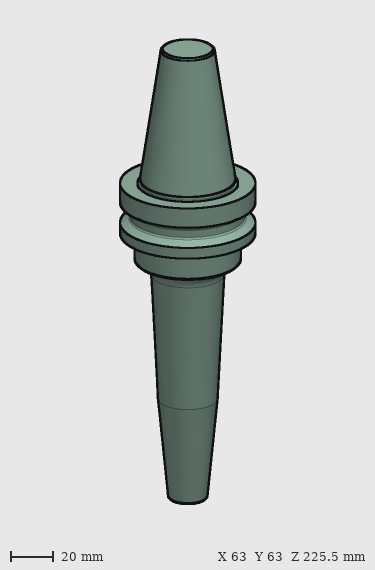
import cadquery as cq
import math

total_length = 225.5

shank_top_radius = 12.6
shank_top_chamfer = 1.0
gauge_radius = 22.3
shank_length = 65.4

neck_length = 2.0
neck_radius = 22.0
neck_fillet = 1.0
relief_radius = 23.5
relief_depth = 0.7

flange_radius = 31.5
flange_length = 25.2
upper_rim_length = 9.7
lower_rim_length = 5.5
groove_radius = 26.8
groove_side_height = 2.7
groove_fillet = 1.1

collar_radius = 24.8
collar_length = 12.8
collar_chamfer = 1.0

nose_top_radius = 17.1
nose_break_height = 49.8
nose_break_radius = 14.0
tip_radius = 9.2
tip_chamfer = 1.0

gauge_height = total_length - shank_length
flange_top = gauge_height - neck_length
flange_bottom = flange_top - flange_length
collar_bottom = flange_bottom - collar_length

groove_upper_edge = flange_top - upper_rim_length
groove_lower_edge = flange_bottom + lower_rim_length

relief_floor = flange_top - relief_depth
shank_lip = gauge_radius - neck_radius
neck_fillet_gap = neck_fillet * (1 - math.sqrt(0.5))
neck_fillet_middle = (neck_radius + neck_fillet_gap, relief_floor + neck_fillet_gap)

fillet_top_radius = collar_radius - collar_chamfer
fillet_top_height = collar_bottom - collar_chamfer
fillet_size = fillet_top_radius - nose_top_radius
nose_top = fillet_top_height - fillet_size
fillet_mid_offset = fillet_size * math.sqrt(0.5)
fillet_middle = (fillet_top_radius - fillet_mid_offset, nose_top + fillet_mid_offset)


def make_body():
    """Revolve the half profile of the whole holder about Z."""
    profile = (
        cq.Workplane("XZ")
        .moveTo(0, 0)
        .lineTo(tip_radius - tip_chamfer, 0)
        .lineTo(tip_radius, tip_chamfer)
        .lineTo(nose_break_radius, nose_break_height)
        .lineTo(nose_top_radius, nose_top)
        .threePointArc(fillet_middle, (fillet_top_radius, fillet_top_height))
        .lineTo(collar_radius, collar_bottom)
        .lineTo(collar_radius, flange_bottom)
        .lineTo(flange_radius, flange_bottom)
        .lineTo(flange_radius, groove_lower_edge)
        .lineTo(groove_radius, groove_lower_edge + groove_side_height)
        .lineTo(groove_radius, groove_upper_edge - groove_side_height)
        .lineTo(flange_radius, groove_upper_edge)
        .lineTo(flange_radius, flange_top)
        .lineTo(relief_radius, flange_top)
        .lineTo(relief_radius, relief_floor)
        .lineTo(neck_radius + neck_fillet, relief_floor)
        .threePointArc(neck_fillet_middle, (neck_radius, relief_floor + neck_fillet))
        .lineTo(neck_radius, gauge_height - shank_lip)
        .lineTo(gauge_radius, gauge_height)
        .lineTo(shank_top_radius, total_length - shank_top_chamfer)
        .lineTo(shank_top_radius - shank_top_chamfer, total_length)
        .lineTo(0, total_length)
        .close()
    )
    return profile.revolve(360, (0, 0, 0), (0, 1, 0))


def round_groove_floor(body):
    """Fillet the two circles where the groove sides meet its floor."""
    margin = groove_radius + groove_fillet
    groove_zone = cq.selectors.BoxSelector(
        (-margin, -margin, groove_lower_edge + groove_side_height / 2),
        (margin, margin, groove_upper_edge - groove_side_height / 2),
    )
    return body.edges(groove_zone).edges("%CIRCLE").fillet(groove_fillet)


result = round_groove_floor(make_body())